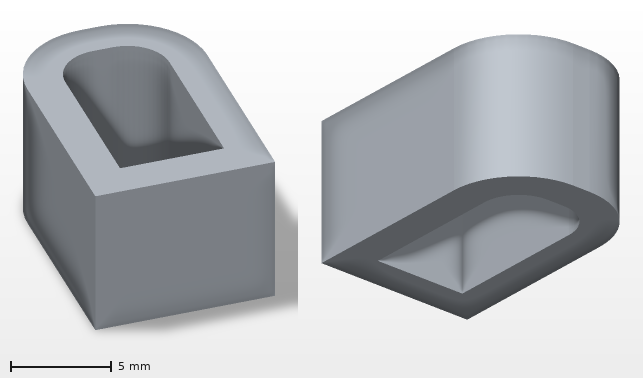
import cadquery as cq

length = 14.51
width = 9.5
height = 8.0
wall = 2.0
outer_radius = 4.22

inner_radius = outer_radius - wall


def rounded_end_block(block_length, block_width, corner_radius):
    """Upright block whose two vertical edges at the -X end are rounded."""
    block = cq.Workplane("XY").box(block_length, block_width, height)
    return block.faces("<X").edges("|Z").fillet(corner_radius)


outer_body = rounded_end_block(length, width, outer_radius)
opening = rounded_end_block(length - 2 * wall, width - 2 * wall, inner_radius)

result = outer_body.cut(opening)